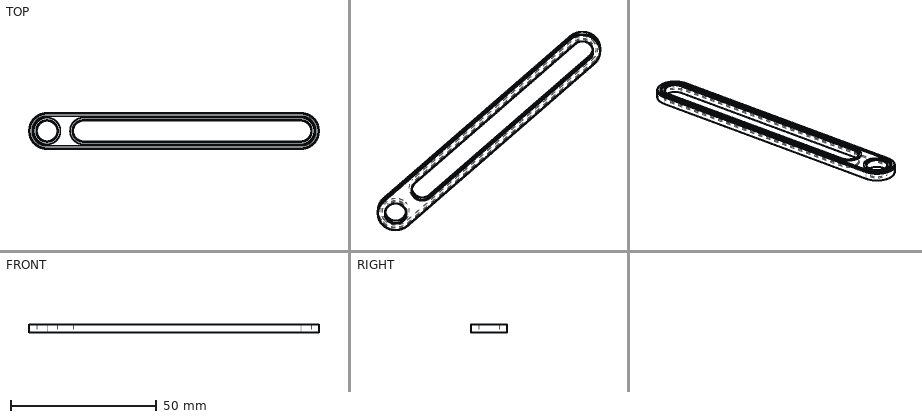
import cadquery as cq

length = 100.0
width = 12.5
thickness = 3.1
edge_chamfer = 0.3

opening_diameter = 7.0
collar_diameter = 9.2
hole_x = -(length - width) / 2
slot_start_x = hole_x + width
slot_end_x = -hole_x

rim_width = 1.1
recess_depth = 0.2

top_z = thickness / 2
floor_z = top_z - recess_depth


def rounded_bar(start_x, end_x, diameter, bottom_z, height):
    """Upright bar with round ends centred at start_x and end_x."""
    return (
        cq.Workplane("XY", origin=((start_x + end_x) / 2, 0, bottom_z))
        .slot2D(end_x - start_x + diameter, diameter)
        .extrude(height)
    )


def round_post(center_x, diameter, bottom_z, height):
    """Upright cylinder on the long axis."""
    return cq.Workplane("XY", origin=(center_x, 0, bottom_z)).circle(diameter / 2).extrude(height)


def make_body():
    """Link with its two openings, chamfered along every top and bottom edge."""
    bar = rounded_bar(hole_x, slot_end_x, width, -top_z, thickness)
    hole = round_post(hole_x, opening_diameter, -top_z, thickness)
    slot = rounded_bar(slot_start_x, slot_end_x, opening_diameter, -top_z, thickness)
    return bar.cut(hole).cut(slot).faces("|Z").edges().chamfer(edge_chamfer)


def make_recess():
    """Material to remove from the top face, leaving the rim and the collars."""
    recess = rounded_bar(hole_x, slot_end_x, width - 2 * rim_width, floor_z, recess_depth)
    hole_collar = round_post(hole_x, collar_diameter, floor_z, recess_depth)
    slot_collar = rounded_bar(slot_start_x, slot_end_x, collar_diameter, floor_z, recess_depth)
    return recess.cut(hole_collar).cut(slot_collar)


result = make_body().cut(make_recess())